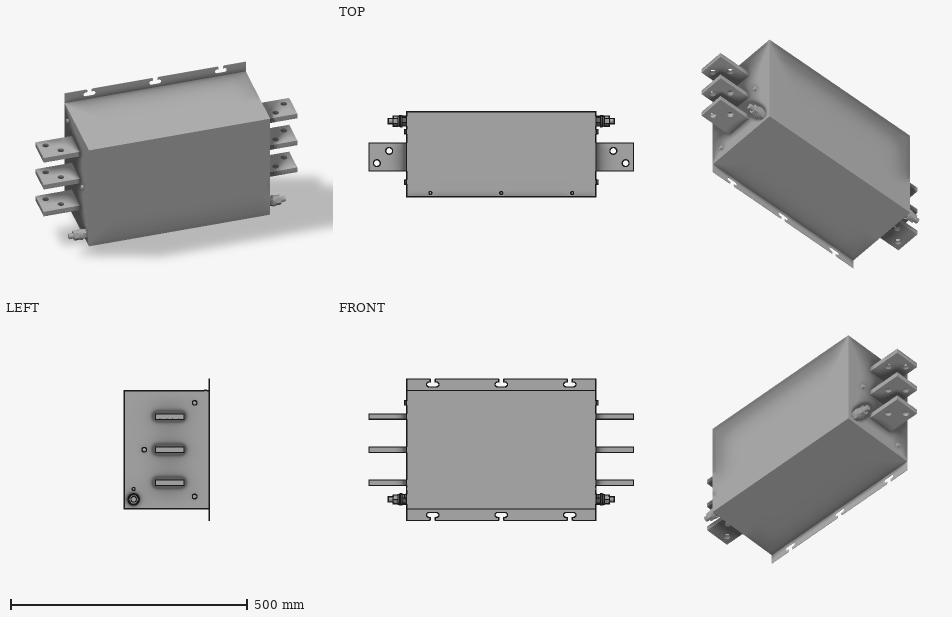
import cadquery as cq
import math

CASE_LENGTH = 400
CASE_DEPTH = 180.05
CASE_HEIGHT = 250
PLATE_HEIGHT = 300
PLATE_THICKNESS = 1

SLOT_PITCH = 145
SLOT_WIDTH = 26
SLOT_HEIGHT = 10
SLOT_INSET = 12
NECK_WIDTH = 10
MOUTH_RADIUS = 1.5

BAR_REACH = 80
BAR_WIDTH = 60
BAR_THICKNESS = 12
BAR_PITCH = 70
BAR_FRONT_OFFSET = 54
BAR_HOLE_DIAMETER = 14
BAR_HOLE_SPACING = 26

SCREW_WASHER_DIAMETER = 10
SCREW_WASHER_THICKNESS = 1.5
SCREW_HEAD_DIAMETER = 9.4
SCREW_HEAD_HEIGHT = 3.5
FRONT_SCREW_DEPTH = 31
FRONT_SCREW_SPREAD = 198
REAR_SCREW_DEPTH = 137.5

STUD_DIAMETER = 12
STUD_REACH = 39
STUD_DEPTH = 160
STUD_HEIGHT = -105
NUT_ACROSS_FLATS = 19
NUT_HEIGHT = 10
WASHER_DIAMETER = 24
WASHER_THICKNESS = 3
LOCK_WASHER_DIAMETER = 23.4
LOCK_WASHER_THICKNESS = 2
SPRING_WASHER_DIAMETER = 21.5
SPRING_WASHER_THICKNESS = 3.5
LOWER_NUT_TURN = 15

MARKER_DIAMETER = 6.5
MARKER_THICKNESS = 0.5
MARKER_RISE = 22

RIVET_DIAMETER = 6.5
RIVET_HEIGHT = 1
RIVET_PITCH = 150
RIVET_DEPTH = 8

HALF_LENGTH = CASE_LENGTH / 2
BAR_HOLE_TIP_OFFSET = (BAR_WIDTH - BAR_HOLE_SPACING) / 2
BAR_CENTRE_DEPTH = BAR_FRONT_OFFSET + BAR_WIDTH / 2
NUT_ACROSS_CORNERS = NUT_ACROSS_FLATS / math.cos(math.pi / 6)


def make_case():
    return cq.Workplane("XY").box(CASE_LENGTH, CASE_DEPTH, CASE_HEIGHT, centered=(True, False, True))


def make_plate():
    """Mounting sheet that covers the case front and stands out above and below it."""
    return cq.Workplane("XY").box(CASE_LENGTH, PLATE_THICKNESS, PLATE_HEIGHT, centered=(True, False, True))


def make_slot_cutter(x):
    """T-shaped opening in the upper plate edge: an obround joined to the edge by a flared neck."""
    edge = PLATE_HEIGHT / 2
    half_neck = NECK_WIDTH / 2
    slot_z = edge - SLOT_INSET
    through = 2 * PLATE_THICKNESS
    front = cq.Workplane("XZ", origin=(x, through, 0))
    obround = front.center(0, slot_z).slot2D(SLOT_WIDTH, SLOT_HEIGHT).extrude(2 * through)
    neck = (
        front.moveTo(-half_neck, slot_z)
        .lineTo(half_neck, slot_z)
        .lineTo(half_neck, edge - MOUTH_RADIUS)
        .radiusArc((half_neck + MOUTH_RADIUS, edge), -MOUTH_RADIUS)
        .lineTo(-half_neck - MOUTH_RADIUS, edge)
        .radiusArc((-half_neck, edge - MOUTH_RADIUS), -MOUTH_RADIUS)
        .close()
        .extrude(2 * through)
    )
    return obround.union(neck)


def cut_slots(plate):
    for x in (-SLOT_PITCH, 0, SLOT_PITCH):
        cutter = make_slot_cutter(x)
        plate = plate.cut(cutter).cut(cutter.mirror("XY"))
    return plate


def disc(diameter, start, thickness, y, z):
    """Cylinder along X standing on the right-hand end wall, raised by start."""
    base = cq.Workplane("YZ", origin=(HALF_LENGTH + start, y, z))
    return base.circle(diameter / 2).extrude(thickness)


def hex_nut(start, turn):
    """Nut on the earth stud axis, raised by start; without turn a corner points forward."""
    base = cq.Workplane("YZ", origin=(HALF_LENGTH + start, STUD_DEPTH, STUD_HEIGHT))
    nut = base.polygon(6, NUT_ACROSS_CORNERS).extrude(NUT_HEIGHT)
    axis_start = (0, STUD_DEPTH, STUD_HEIGHT)
    axis_end = (1, STUD_DEPTH, STUD_HEIGHT)
    return nut.rotate(axis_start, axis_end, turn)


def make_busbar(z):
    tip = HALF_LENGTH + BAR_REACH
    outer_hole = (tip - BAR_HOLE_TIP_OFFSET, BAR_CENTRE_DEPTH - BAR_HOLE_SPACING / 2)
    inner_hole = (outer_hole[0] - BAR_HOLE_SPACING, outer_hole[1] + BAR_HOLE_SPACING)
    bar = cq.Workplane("XY").box(BAR_REACH, BAR_WIDTH, BAR_THICKNESS)
    bar = bar.translate((HALF_LENGTH + BAR_REACH / 2, BAR_CENTRE_DEPTH, z))
    holes = (
        cq.Workplane("XY", origin=(0, 0, z - BAR_THICKNESS))
        .pushPoints([outer_hole, inner_hole])
        .circle(BAR_HOLE_DIAMETER / 2)
        .extrude(2 * BAR_THICKNESS)
    )
    return bar.cut(holes)


def make_earth_stud():
    """Stud with a nut on the wall, three stacked washers of falling diameter, and an outer nut."""
    washers = [
        (WASHER_DIAMETER, WASHER_THICKNESS),
        (LOCK_WASHER_DIAMETER, LOCK_WASHER_THICKNESS),
        (SPRING_WASHER_DIAMETER, SPRING_WASHER_THICKNESS),
    ]
    stud = disc(STUD_DIAMETER, 0, STUD_REACH, STUD_DEPTH, STUD_HEIGHT)
    stud = stud.union(hex_nut(0, -LOWER_NUT_TURN))
    level = NUT_HEIGHT
    for diameter, thickness in washers:
        stud = stud.union(disc(diameter, level, thickness, STUD_DEPTH, STUD_HEIGHT))
        level += thickness
    return stud.union(hex_nut(level, 0))


def make_end_screw(y, z):
    washer = disc(SCREW_WASHER_DIAMETER, 0, SCREW_WASHER_THICKNESS, y, z)
    head = disc(SCREW_HEAD_DIAMETER, SCREW_WASHER_THICKNESS, SCREW_HEAD_HEIGHT, y, z)
    return washer.union(head)


def make_rivet(x):
    """Domed head: a spherical cap revolved about a vertical axis."""
    radius = RIVET_DIAMETER / 2
    dome_radius = (radius**2 + RIVET_HEIGHT**2) / (2 * RIVET_HEIGHT)
    profile = (
        cq.Workplane("XZ", origin=(x, RIVET_DEPTH, CASE_HEIGHT / 2))
        .lineTo(radius, 0)
        .radiusArc((0, RIVET_HEIGHT), -dome_radius)
        .close()
    )
    return profile.revolve(360, (0, 0), (0, 1))


def make_end_fittings():
    """Everything standing on the right-hand end wall."""
    parts = [make_busbar(row * BAR_PITCH) for row in (-1, 0, 1)]
    screw_places = [
        (FRONT_SCREW_DEPTH, FRONT_SCREW_SPREAD / 2),
        (FRONT_SCREW_DEPTH, -FRONT_SCREW_SPREAD / 2),
        (REAR_SCREW_DEPTH, 0),
    ]
    for y, z in screw_places:
        parts.append(make_end_screw(y, z))
    parts.append(make_earth_stud())
    parts.append(disc(MARKER_DIAMETER, 0, MARKER_THICKNESS, STUD_DEPTH, STUD_HEIGHT + MARKER_RISE))
    return parts


result = make_case().union(cut_slots(make_plate()))
for fitting in make_end_fittings():
    result = result.union(fitting).union(fitting.mirror("YZ"))
for rivet_x in (-RIVET_PITCH, 0, RIVET_PITCH):
    result = result.union(make_rivet(rivet_x))